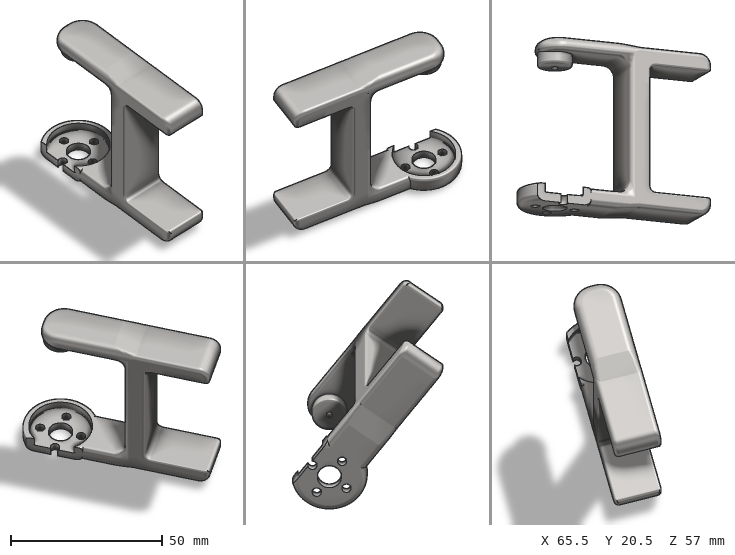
import cadquery as cq
import math

TOTAL_HEIGHT = 57.0
HALF_WIDTH = 8.0

FRAME_INSET = 1.0
FRAME_BOTTOM = FRAME_INSET
FRAME_TOP = TOTAL_HEIGHT - FRAME_INSET
FLANGE_THICKNESS = 6.0
WEB_LEFT = 24.0
WEB_RIGHT = 31.0
FLANGE_END = 53.0
WEB_CORNER_RADIUS = 3.0
FLANGE_TIP_RADIUS = 4.0
INNER_CORNER_RADIUS = 2.0
OUTER_EDGE_ROUND = 1.5
INNER_EDGE_ROUND = 0.7
FLANGE_END_ROUND = 1.1

ARM_EDGE_ROUND = 1.5
UPPER_ARM_THICKNESS = 5.0
UPPER_ARM_BOTTOM = TOTAL_HEIGHT - UPPER_ARM_THICKNESS
UPPER_ARM_END = -6.0
UPPER_ARM_CORNER_RADIUS = 7.0
UPPER_ARM_OUTER_ROUND = 3.0
LOWER_ARM_THICKNESS = 6.0
LOWER_ARM_START = 4.0
LOWER_ARM_OUTER_ROUND = 2.0
UPPER_RAMP_START = 20.0
LOWER_RAMP_START = 19.0
RAMP_LENGTH = 8.0
RAMP_EDGE_ROUND = 1.5
JUNCTION_RADIUS = 4.0

DISH_RADIUS = 12.5
DISH_HEIGHT = LOWER_ARM_THICKNESS
DISH_TOP_ROUND = 1.0
DISH_BOTTOM_ROUND = 2.0
POCKET_RADIUS = 10.5
POCKET_DEPTH = 3.0
POCKET_FLOOR_ROUND = 0.25
BORE_DIAMETER = 8.0
SMALL_HOLE_DIAMETER = 3.0
SMALL_HOLE_CIRCLE_RADIUS = 7.0
SMALL_HOLE_COUNT = 4

BUTTON_DIAMETER = 11.5
BUTTON_DROP = 4.05
BUTTON_BOTTOM = UPPER_ARM_BOTTOM - BUTTON_DROP
BUTTON_SEAT_DEPTH = ARM_EDGE_ROUND
BUTTON_EDGE_ROUND = 1.0
TIP_DIAMETER = 2.0

TOLERANCE = 0.005


def block(x_min, x_max, z_min, z_max):
    """A block across the full width of the frame."""
    return (
        cq.Workplane("XY")
        .box(x_max - x_min, 2 * HALF_WIDTH, z_max - z_min, centered=(False, True, False))
        .translate((x_min, 0, z_min))
    )


def edges_within(body, x_range, z_range):
    """The edges lying wholly inside a range of X and Z, over the full width."""
    low = (x_range[0] - TOLERANCE, -HALF_WIDTH - TOLERANCE, z_range[0] - TOLERANCE)
    high = (x_range[1] + TOLERANCE, HALF_WIDTH + TOLERANCE, z_range[1] + TOLERANCE)
    return body.edges(cq.selectors.BoxSelector(low, high, boundingbox=True))


def end_rounding(inner_z, into_flange):
    """Waste that rounds a flange end; into_flange is the Z sign from its inner face into the flange."""
    arc_start_x = FLANGE_END - FLANGE_END_ROUND
    arc_end_z = inner_z + into_flange * FLANGE_END_ROUND
    midpoint_inset = FLANGE_END_ROUND * (1 - math.sqrt(0.5))
    return (
        cq.Workplane("XZ")
        .moveTo(arc_start_x, inner_z)
        .lineTo(FLANGE_END, inner_z)
        .lineTo(FLANGE_END, arc_end_z)
        .threePointArc(
            (FLANGE_END - midpoint_inset, inner_z + into_flange * midpoint_inset),
            (arc_start_x, inner_z),
        )
        .close()
        .extrude(HALF_WIDTH, both=True)
    )


def make_frame():
    """The web and its two flanges, with all outer and inner edges rounded."""
    inner_bottom = FRAME_BOTTOM + FLANGE_THICKNESS
    inner_top = FRAME_TOP - FLANGE_THICKNESS
    frame = block(WEB_LEFT, FLANGE_END, FRAME_BOTTOM, FRAME_TOP)
    frame = frame.edges("|Y and <X").fillet(WEB_CORNER_RADIUS)
    frame = frame.edges("|Y and >X").fillet(FLANGE_TIP_RADIUS)
    opening = block(WEB_RIGHT, FLANGE_END + FLANGE_THICKNESS, inner_bottom, inner_top)
    opening = opening.edges("|Y and <X").fillet(INNER_CORNER_RADIUS)
    frame = frame.cut(opening)
    frame = frame.faces("<X").edges("|Z").fillet(OUTER_EDGE_ROUND)
    inner_edges = edges_within(frame, (WEB_RIGHT, FLANGE_END), (inner_bottom, inner_top))
    frame = inner_edges.fillet(INNER_EDGE_ROUND)
    return frame.cut(end_rounding(inner_bottom, -1)).cut(end_rounding(inner_top, 1))


def cut_ramp(arm, ramp_start, outer_z, frame_z):
    """Slope an arm's outer face from outer_z down to frame_z, and round the sloped edges."""
    slope = (frame_z - outer_z) / RAMP_LENGTH
    end_z = outer_z + slope * (WEB_RIGHT - ramp_start)
    wedge = (
        cq.Workplane("XZ")
        .polyline([(ramp_start, outer_z), (WEB_RIGHT, outer_z), (WEB_RIGHT, end_z)])
        .close()
        .extrude(HALF_WIDTH, both=True)
    )
    arm = arm.cut(wedge)
    return arm.edges("%ELLIPSE").fillet(RAMP_EDGE_ROUND)


def make_upper_arm():
    """The arm above the dish, with a rounded free end."""
    arm = block(UPPER_ARM_END, WEB_RIGHT, UPPER_ARM_BOTTOM, TOTAL_HEIGHT)
    arm = arm.edges("|Z and <X").fillet(UPPER_ARM_CORNER_RADIUS)
    arm = arm.faces(">Z").edges("not >X").fillet(UPPER_ARM_OUTER_ROUND)
    arm = arm.faces("<Z").edges("not >X").fillet(ARM_EDGE_ROUND)
    return cut_ramp(arm, UPPER_RAMP_START, TOTAL_HEIGHT, FRAME_TOP)


def make_lower_arm():
    """The arm that runs from the dish into the web."""
    arm = block(LOWER_ARM_START, WEB_RIGHT, 0, LOWER_ARM_THICKNESS)
    arm = arm.faces("<Z").edges("|X").fillet(LOWER_ARM_OUTER_ROUND)
    arm = arm.faces(">Z").edges("|X").fillet(ARM_EDGE_ROUND)
    return cut_ramp(arm, LOWER_RAMP_START, 0, FRAME_BOTTOM)


def make_dish_blank():
    """A round-edged disc with a flat flush with the -Y side of the arms."""
    dish = cq.Workplane("XY").circle(DISH_RADIUS).extrude(DISH_HEIGHT)
    dish = dish.faces(">Z").edges().fillet(DISH_TOP_ROUND)
    dish = dish.faces("<Z").edges().fillet(DISH_BOTTOM_ROUND)
    beyond_flat = (
        cq.Workplane("XY")
        .box(2 * DISH_RADIUS, DISH_RADIUS, DISH_HEIGHT, centered=(True, False, False))
        .translate((0, -HALF_WIDTH - DISH_RADIUS, 0))
    )
    return dish.cut(beyond_flat)


def make_dish_openings():
    """The dish's pocket, centre bore and ring of small holes, as one cutting shape."""
    floor = DISH_HEIGHT - POCKET_DEPTH
    pocket = cq.Workplane("XY").workplane(offset=floor).circle(POCKET_RADIUS).extrude(POCKET_DEPTH)
    pocket = pocket.faces("<Z").edges().fillet(POCKET_FLOOR_ROUND)
    bore = cq.Workplane("XY").circle(BORE_DIAMETER / 2).extrude(DISH_HEIGHT)
    small_holes = (
        cq.Workplane("XY")
        .polarArray(SMALL_HOLE_CIRCLE_RADIUS, 0, 360, SMALL_HOLE_COUNT)
        .circle(SMALL_HOLE_DIAMETER / 2)
        .extrude(DISH_HEIGHT)
    )
    return pocket.union(bore).union(small_holes)


def round_junction(bracket, arm_face_z):
    """Blend the face of an arm at arm_face_z into the web."""
    height_range = (arm_face_z - ARM_EDGE_ROUND, arm_face_z + ARM_EDGE_ROUND)
    junction = edges_within(bracket, (WEB_LEFT, WEB_LEFT), height_range)
    return junction.fillet(JUNCTION_RADIUS)


def make_bracket():
    """Frame, arms and dish in one solid."""
    bracket = make_frame().union(make_upper_arm()).union(make_lower_arm())
    bracket = round_junction(bracket, UPPER_ARM_BOTTOM)
    bracket = round_junction(bracket, LOWER_ARM_THICKNESS)
    return bracket.union(make_dish_blank()).cut(make_dish_openings())


def make_button():
    """A round button seated in the upper arm."""
    top = UPPER_ARM_BOTTOM + BUTTON_SEAT_DEPTH
    button = (
        cq.Workplane("XY")
        .workplane(offset=BUTTON_BOTTOM)
        .circle(BUTTON_DIAMETER / 2)
        .extrude(top - BUTTON_BOTTOM)
    )
    return button.faces("<Z").edges().fillet(BUTTON_EDGE_ROUND)


def make_tip():
    """A half ball whose flat side touches the button."""
    ball = cq.Workplane("XY").sphere(TIP_DIAMETER / 2)
    upper_half = cq.Workplane("XY").circle(TIP_DIAMETER).extrude(TIP_DIAMETER)
    return ball.cut(upper_half).translate((0, 0, BUTTON_BOTTOM))


button = make_button()
tip = make_tip()
bracket = make_bracket().cut(button)

bodies = [*bracket.solids().vals(), *button.solids().vals(), *tip.solids().vals()]
result = cq.Compound.makeCompound(bodies)